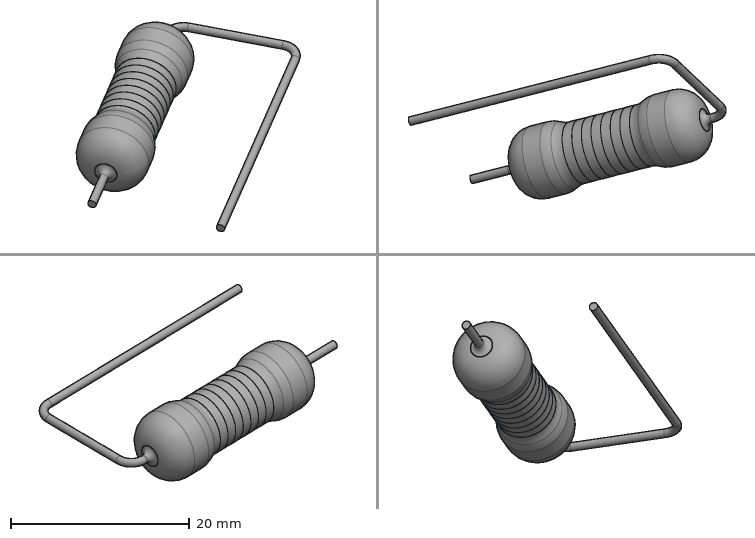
import cadquery as cq
import math

overall_length = 32.9
overall_width = 19.7

body_radius = 8.4 / 2
waist_radius = 7.15 / 2
body_center_y = 17.55
body_length = 23.85
dome_radius = 2.93
cap_length = 2.25

band_radius = 7.17 / 2
band_count = 4
band_width = 1.22

wire_radius = 1.0 / 2
bend_radius = 1.97
collar_radius = 0.82

body_end = body_length / 2
cap_outer = body_end - dome_radius
cap_inner = cap_outer - cap_length
waist_end = (2 * band_count - 1) * band_width / 2
return_x = overall_width - body_radius - wire_radius
crossing_y = overall_length - wire_radius

shoulder_middle = (cap_inner + waist_end) / 2
shoulder_radius = (body_radius + waist_radius) / 2
half_length = (cap_inner - waist_end) / 2
half_drop = (body_radius - waist_radius) / 2
shoulder_arc = (half_length**2 + half_drop**2) / (2 * half_drop)
quarter = math.sqrt(0.5)


def make_end():
    """Revolve the +Y end of the body: shoulder, cap, dome and collar."""
    dome_start = body_radius - dome_radius
    dome_mid = (dome_start + dome_radius * quarter, cap_outer + dome_radius * quarter)
    collar_center = (wire_radius + collar_radius, body_end + collar_radius)
    collar_mid = (
        collar_center[0] - collar_radius * quarter,
        collar_center[1] - collar_radius * quarter,
    )
    profile = (
        cq.Workplane("XY")
        .moveTo(0, waist_end)
        .lineTo(waist_radius, waist_end)
        .radiusArc((shoulder_radius, shoulder_middle), shoulder_arc)
        .radiusArc((body_radius, cap_inner), -shoulder_arc)
        .lineTo(body_radius, cap_outer)
        .threePointArc(dome_mid, (dome_start, body_end))
        .lineTo(collar_center[0], body_end)
        .threePointArc(collar_mid, (wire_radius, collar_center[1]))
        .lineTo(0, collar_center[1])
        .close()
    )
    return profile.revolve(360, (0, 0, 0), (0, 1, 0))


def make_cylinder(radius, start, length):
    """Solid cylinder along the body axis, starting at Y = start."""
    return cq.Workplane("XZ", origin=(0, start, 0)).circle(radius).extrude(-length)


def make_waist():
    """Plain cylinder with the raised bands around it."""
    waist = make_cylinder(waist_radius, -waist_end, 2 * waist_end)
    for index in range(band_count):
        start = -waist_end + 2 * index * band_width
        waist = waist.union(make_cylinder(band_radius, start, band_width))
    return waist


def make_lead():
    """One wire through the body axis, across, and back beside the body."""
    bend_offset = bend_radius * (1 - quarter)
    bend_start_y = crossing_y - bend_radius
    path = (
        cq.Workplane("XY")
        .lineTo(0, bend_start_y)
        .threePointArc((bend_offset, crossing_y - bend_offset), (bend_radius, crossing_y))
        .lineTo(return_x - bend_radius, crossing_y)
        .threePointArc(
            (return_x - bend_offset, crossing_y - bend_offset),
            (return_x, bend_start_y),
        )
        .lineTo(return_x, 0)
    )
    return cq.Workplane("XZ").circle(wire_radius).sweep(path)


end = make_end()
body = make_waist().union(end).union(end.mirror("XZ"))
result = body.translate((0, body_center_y, 0)).union(make_lead())